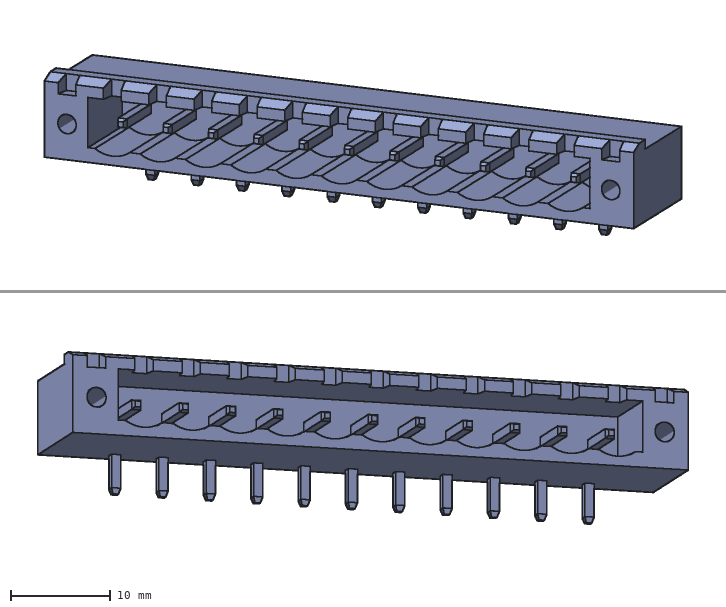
import cadquery as cq
import math


length = 65.0
depth = 12.0
height = 8.6
lip_step = 1.0
lip_depth = 3.0
bevel_depth = 1.5
bevel_drop = 0.6

pin_count = 11
pin_row_length = 50.0
pitch = pin_row_length / (pin_count - 1)
pin_positions = [(i - (pin_count - 1) / 2) * pitch for i in range(pin_count)]

cavity_width = 55.4
cavity_depth = 8.6
roof_thickness = 1.75
cavity_top = height - roof_thickness
ridge_height = 1.55
ridge_width = 1.2
lobe_drop = 0.6
lobe_width = pitch - ridge_width

slot_back_width = 1.5
slot_front_width = 1.95

sleeve_positions = [pin_positions[0] - pitch, pin_positions[-1] + pitch]
sleeve_diameter = 3.95
hole_diameter = 2.0
hole_depth = 6.0

pin_size = 1.0
pin_tip_size = 0.6
pin_tip_length = 0.6
pin_tip_angle = math.degrees(math.atan2((pin_size - pin_tip_size) / 2, pin_tip_length))
pin_axis_height = 3.8
pin_front_inset = 2.0
tail_drop = 4.0
tail_axis_y = depth - 2.1


def make_housing():
    """Extrude the stepped and bevelled side profile along the full length."""
    profile = [
        (0, 0),
        (depth, 0),
        (depth, height - lip_step),
        (lip_depth, height - lip_step),
        (lip_depth, height),
        (bevel_depth, height),
        (0, height - bevel_drop),
    ]
    return cq.Workplane("YZ").polyline(profile).close().extrude(length / 2, both=True)


def make_cavity():
    """Front pocket whose floor has one round lobe under each pin."""
    half_width = cavity_width / 2
    outline = (
        cq.Workplane("XZ")
        .moveTo(-half_width, cavity_top)
        .lineTo(-half_width, ridge_height)
    )
    for x in pin_positions:
        outline = outline.lineTo(x - lobe_width / 2, ridge_height).threePointArc(
            (x, ridge_height - lobe_drop), (x + lobe_width / 2, ridge_height)
        )
    outline = outline.lineTo(half_width, ridge_height).lineTo(half_width, cavity_top)
    return outline.close().extrude(-cavity_depth)


def make_slot(x):
    """Keying slot that widens toward the front, as deep as the cavity roof."""
    corners = [
        (x - slot_front_width / 2, 0),
        (x + slot_front_width / 2, 0),
        (x + slot_back_width / 2, bevel_depth),
        (x - slot_back_width / 2, bevel_depth),
    ]
    return (
        cq.Workplane("XY", origin=(0, 0, cavity_top))
        .polyline(corners)
        .close()
        .extrude(roof_thickness)
    )


def make_front_cylinder(x, diameter):
    """Cylinder running back from the front face at a mounting position."""
    return (
        cq.Workplane("XZ", origin=(x, 0, pin_axis_height))
        .circle(diameter / 2)
        .extrude(-hole_depth)
    )


def make_leg(start_plane, leg_length):
    """Square bar from the pin's bend, ending in a tapered tip."""
    bar_length = leg_length - pin_tip_length
    bar = start_plane.rect(pin_size, pin_size).extrude(bar_length)
    tip = (
        start_plane.workplane(offset=bar_length)
        .rect(pin_size, pin_size)
        .extrude(pin_tip_length, taper=pin_tip_angle)
    )
    return bar.union(tip)


def make_pin(x):
    """Right-angle pin: a contact toward the front and a solder tail downward."""
    bend = (x, tail_axis_y, pin_axis_height)
    contact_plane = cq.Workplane("XZ", origin=bend)
    contact = make_leg(contact_plane, tail_axis_y - pin_front_inset)
    tail_plane = cq.Workplane("XY", origin=bend).transformed(rotate=(180, 0, 0))
    tail = make_leg(tail_plane, pin_axis_height + tail_drop)
    return contact.union(tail)


result = make_housing().cut(make_cavity())

for slot_x in pin_positions + sleeve_positions:
    result = result.cut(make_slot(slot_x))

for pin_x in pin_positions:
    result = result.union(make_pin(pin_x))

for sleeve_x in sleeve_positions:
    seat = make_front_cylinder(sleeve_x, sleeve_diameter)
    sleeve = seat.cut(make_front_cylinder(sleeve_x, hole_diameter))
    result = result.cut(seat, clean=False).union(sleeve, clean=False)